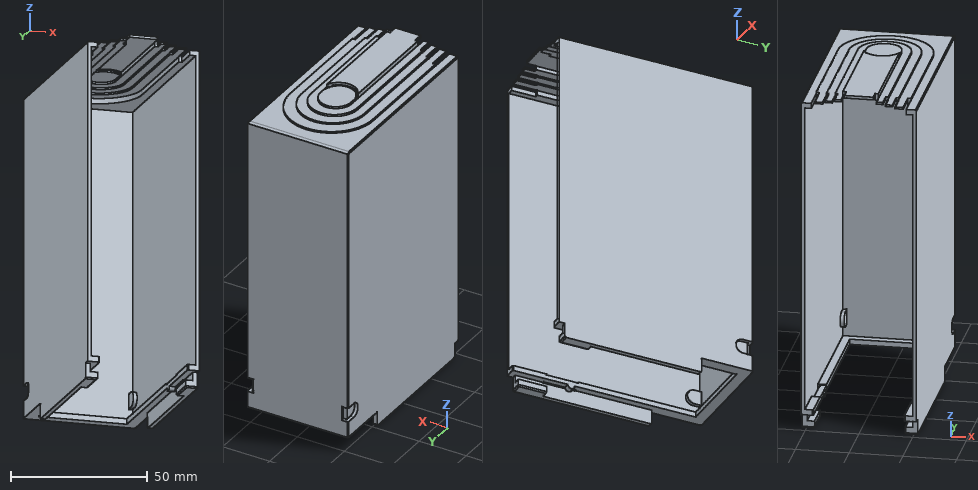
import cadquery as cq

width = 43.0
depth = 79.5
height = 132.0
wall = 1.5
shell_bottom = 6.0
shell_top = 128.0
cavity_top = 126.0
half_width = width / 2
cavity_half_width = half_width - wall
edge_chamfer = 0.4
side_top_chamfer_drop = 0.4
back_top_chamfer_run = 1.5
back_top_chamfer_drop = 0.4

arch_half_widths = [17.7, 13.5, 9.9, 6.6]
arch_tops = [128.7, 129.4, 130.2, 131.0]
arch_bottoms = [shell_top] + arch_tops[:-1]
first_arch_center = 55.0
arch_center_step = 1.0
arch_centers = [first_arch_center - i * arch_center_step for i in range(len(arch_half_widths))]
arch_rims = [1.2, 0.9, 0.9, 1.2]
slot_length_step = 2.0

tongue_half_width = arch_half_widths[-1]
tongue_bottom = arch_tops[-1]
disk_center = 49.9
disk_radius = 6.5
disk_gap = 0.7
disk_side_web = 0.3

ledge_top = 8.0
ledge_reach = 4.6
ledge_inner = half_width - ledge_reach
ledge_corner = 0.4

spring_front = 13.9
spring_back = 26.9
spring_groove = 0.8
spring_drop = 0.4
detent_center = 24.0
detent_radius = 1.5

tab_front = 2.4
tab_back = 58.3
tab_thickness = 1.8
tab_chamfer = 0.5
hook_height = 2.8

pocket_bottom = 12.7
pocket_height = 5.8
pocket_front = depth - 7.1
pocket_depth = 1.5
pocket_step = 1.2
pocket_step_depth = 1.3
pocket_ramp = 0.5
pocket_radius = pocket_height / 2
pocket_middle = pocket_bottom + pocket_radius


def block(x_range, y_range, z_range):
    """Box between the given limits."""
    size = [high - low for low, high in (x_range, y_range, z_range)]
    corner = (x_range[0], y_range[0], z_range[0])
    return cq.Workplane("XY").box(*size, centered=False).translate(corner)


def both_sides(right_body):
    """The body together with its mirror image on the left."""
    return right_body.union(right_body.mirror("YZ"))


def arch_prism(radius, center, bottom, top):
    """Prism with straight sides from the front face and a round back end."""
    return (
        cq.Workplane("XY")
        .workplane(offset=bottom)
        .moveTo(-radius, 0)
        .lineTo(-radius, center)
        .threePointArc((0, center + radius), (radius, center))
        .lineTo(radius, 0)
        .close()
        .extrude(top - bottom)
    )


def disk(radius, bottom, top):
    """Round disk at the finger position."""
    return cq.Workplane("XY", origin=(0, disk_center, bottom)).circle(radius).extrude(top - bottom)


def shell():
    outside = block((-half_width, half_width), (0, depth), (shell_bottom, shell_top))
    outside = outside.edges("|Z and >Y").chamfer(edge_chamfer)
    side_corner = (
        cq.Workplane("XZ")
        .polyline([
            (half_width, shell_top),
            (half_width - edge_chamfer, shell_top),
            (half_width, shell_top - side_top_chamfer_drop),
        ])
        .close()
        .extrude(-depth)
    )
    back_corner = (
        cq.Workplane("YZ")
        .polyline([
            (depth, shell_top),
            (depth - back_top_chamfer_run, shell_top),
            (depth, shell_top - back_top_chamfer_drop),
        ])
        .close()
        .extrude(half_width, both=True)
    )
    cavity = block(
        (-cavity_half_width, cavity_half_width), (0, depth - wall), (shell_bottom, cavity_top)
    )
    return outside.cut(both_sides(side_corner)).cut(back_corner).cut(cavity)


def add_arches(body):
    """Stack the arches, each open to the cavity up to the rim that carries the next one."""
    for radius, center, bottom, top in zip(arch_half_widths, arch_centers, arch_bottoms, arch_tops):
        body = body.union(arch_prism(radius, center, bottom, top))
    opening_bottoms = [cavity_top] + arch_bottoms[:-1]
    opening_radii = [radius - rim for radius, rim in zip(arch_half_widths, arch_rims)]
    for radius, center, bottom, top in zip(opening_radii, arch_centers, opening_bottoms, arch_bottoms):
        body = body.cut(arch_prism(radius, center, bottom, top))
    return body


def add_tongue(body):
    """Hollow the smallest arch in front of the disk, then roof the hollow with the tongue."""
    floor = arch_bottoms[-1]
    finger_disk = disk(disk_radius, floor, tongue_bottom)
    channel_half_width = tongue_half_width - arch_rims[-1]
    channel = block((-channel_half_width, channel_half_width), (0, disk_center), (floor, tongue_bottom))
    gap_half_width = tongue_half_width - disk_side_web
    gap_span = block((-gap_half_width, gap_half_width), (0, disk_center), (floor, tongue_bottom))
    gap = disk(disk_radius + disk_gap, floor, tongue_bottom).intersect(gap_span)
    hollow = channel.union(gap).cut(finger_disk)
    tongue = block((-tongue_half_width, tongue_half_width), (0, disk_center), (tongue_bottom, height))
    tongue = tongue.cut(disk(disk_radius + disk_gap, tongue_bottom, height))
    return body.cut(hollow).union(tongue)


def cut_front_slots(body):
    """Remove the rim of every arch near the front; the larger the arch, the longer the slot."""
    count = len(arch_half_widths)
    for index, (radius, rim) in enumerate(zip(arch_half_widths, arch_rims)):
        length = slot_length_step * (count + 1 - index)
        slot = block((radius - rim, radius), (0, length), (cavity_top, height))
        body = body.cut(both_sides(slot))
    return body


def ledge():
    side = block((ledge_inner, cavity_half_width), (0, depth - wall), (shell_bottom, ledge_top))
    side = side.edges("|Z and <X and <Y").chamfer(ledge_corner)
    spring_span = (spring_front, spring_back)
    spring_outer = cavity_half_width - spring_groove
    groove = block((spring_outer, cavity_half_width), spring_span, (shell_bottom, ledge_top))
    top_relief = block(
        (ledge_inner, cavity_half_width), spring_span, (ledge_top - spring_drop, ledge_top)
    )
    detent = (
        cq.Workplane("YZ", origin=(ledge_inner, detent_center, shell_bottom))
        .circle(detent_radius)
        .extrude(spring_outer - ledge_inner)
    )
    side = side.cut(groove).cut(top_relief).union(detent)
    back_span = (depth - ledge_reach, depth - wall)
    back = block((-ledge_inner, ledge_inner), back_span, (shell_bottom, ledge_top))
    return both_sides(side).union(back)


def tab_corner(end, run):
    """Wedge that bevels the lower corner of the right tab at one end."""
    return (
        cq.Workplane("YZ")
        .polyline([(end, 0), (end + run, 0), (end, tab_chamfer)])
        .close()
        .extrude(half_width)
    )


def tabs():
    tab_inner = half_width - tab_thickness
    plate = block((tab_inner, half_width), (tab_front, tab_back), (0, shell_bottom))
    hook = block((ledge_inner, tab_inner), (tab_front, spring_front), (0, hook_height))
    hook = hook.edges("|Y and <X and <Z").chamfer(tab_chamfer)
    tab = plate.union(hook)
    tab = tab.cut(tab_corner(tab_front, tab_chamfer))
    tab = tab.cut(tab_corner(tab_back, -tab_chamfer))
    return both_sides(tab)


def pocket_outline(inner_x, length):
    """Prism along X with a round front end, reaching the back face."""
    center = pocket_front + pocket_radius
    pocket_top = pocket_bottom + pocket_height
    return (
        cq.Workplane("YZ", origin=(inner_x, 0, 0))
        .moveTo(depth, pocket_bottom)
        .lineTo(center, pocket_bottom)
        .threePointArc((pocket_front, pocket_middle), (center, pocket_top))
        .lineTo(depth, pocket_top)
        .close()
        .extrude(length)
    )


def add_latch_pockets(body):
    floor_x = half_width - pocket_depth
    backing = pocket_outline(floor_x - wall, wall)
    backing = backing.intersect(block((0, half_width), (0, depth - wall), (0, height)))
    recess = pocket_outline(floor_x, pocket_depth)
    deep_x = floor_x - pocket_step_depth
    step_front = depth - pocket_step
    step = (
        cq.Workplane("XY", origin=(0, 0, pocket_bottom))
        .polyline([
            (floor_x, depth),
            (floor_x, step_front - pocket_ramp),
            (deep_x, step_front),
            (deep_x, depth),
        ])
        .close()
        .extrude(pocket_height)
    )
    return body.union(both_sides(backing)).cut(both_sides(recess.union(step)))


result = shell()
result = add_arches(result)
result = add_tongue(result)
result = cut_front_slots(result)
result = result.union(ledge()).union(tabs())
result = add_latch_pockets(result)